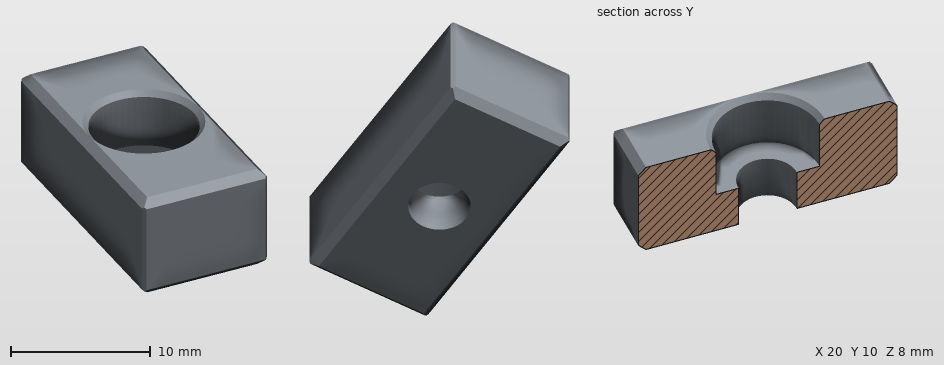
import cadquery as cq

length = 20
width = 10
height = 8
face_chamfer = 0.6
corner_chamfer = 0.25

hole_diameter = 4.5
bore_diameter = 8
bore_depth = 4.45
bore_chamfer = 0.4


def chamfered_block(edge_direction, chamfer):
    """Block with only the four edges along one direction chamfered."""
    block = cq.Workplane("XY").box(length, width, height, centered=(True, True, False))
    return block.edges(edge_direction).chamfer(chamfer)


body = (
    chamfered_block("|X", face_chamfer)
    .intersect(chamfered_block("|Y", face_chamfer))
    .intersect(chamfered_block("|Z", corner_chamfer))
)

hole_radius = hole_diameter / 2
bore_radius = bore_diameter / 2
bore_floor = height - bore_depth
screw_hole = (
    cq.Workplane("XZ")
    .polyline([
        (0, 0),
        (hole_radius, 0),
        (hole_radius, bore_floor),
        (bore_radius, bore_floor),
        (bore_radius, height - bore_chamfer),
        (bore_radius + bore_chamfer, height),
        (0, height),
    ])
    .close()
    .revolve(360, (0, 0, 0), (0, 1, 0))
)

result = body.cut(screw_hole)